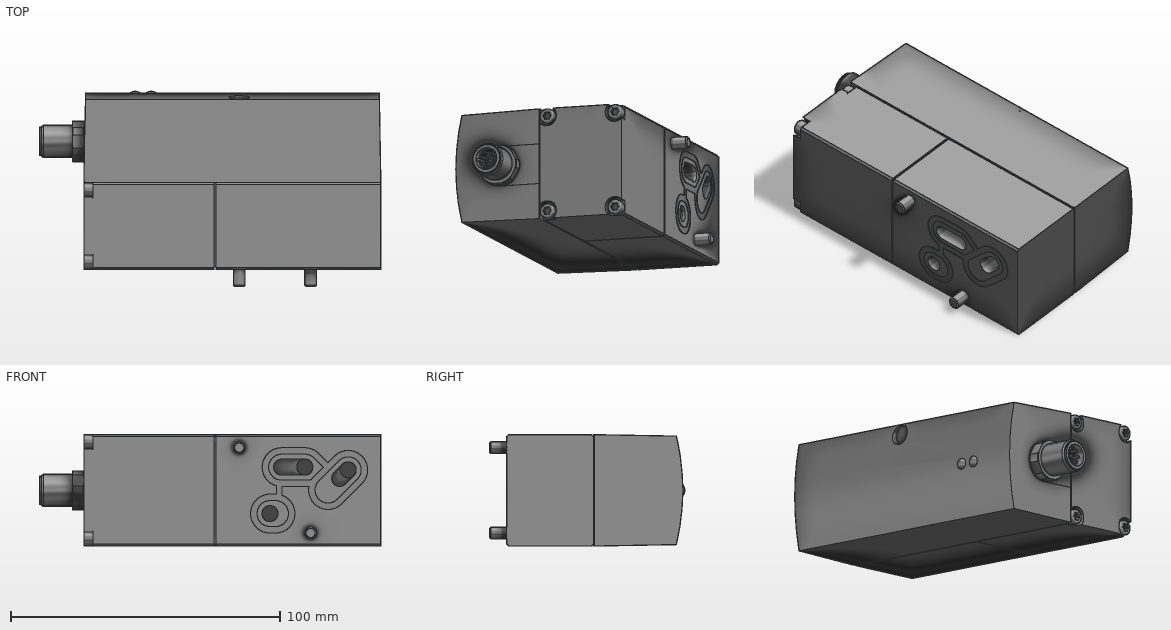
import cadquery as cq
import math


housing_length = 110.4
housing_height = 41.5
base_depth = 32.2
edge_chamfer = 0.8
split_x = 48.7
split_width = 0.8
split_depth = 0.9
seam_width = 0.4
seam_depth = 0.3

cover_draft = 1.0
cover_shoulder_y = 63.1
cover_crown_y = 65.5

lamp_diameter = 4.0
lamp_height = 0.8
lamp_xs = (19.0, 25.0)
recess_diameter = 7.5
recess_x = 57.7
recess_z = 16.1
recess_depth = 3.8

connector_y = 47.6
pad_radius = 7.5
nut_across_flats = 14.5
nut_corner_diameter = 15.2
nut_length = 4.3
nut_chamfer = 0.3
plug_diameter = 12.0
plug_tip_diameter = 10.5
plug_length = 16.5
plug_tip_length = 0.8
plug_cone_length = 0.8
plug_cone_diameter = 11.2
socket_diameter = 8.2
socket_depth = 8.9
contact_diameter = 0.8
contact_length = 7.6
contact_circle_radius = 2.8
outer_contact_count = 7
key_width = 0.9
key_reach = 1.4

screw_inset = 2.8
counterbore_diameter = 7.5
counterbore_depth = 3.4
screw_head_diameter = 5.5
screw_head_fillet = 0.6
hex_socket_width = 2.7
hex_socket_depth = 1.9

pin_positions = ((57.7, 15.9), (84.3, -15.9))
pin_diameter = 4.5
pin_length = 6.3
pin_chamfer = 0.5

port_diameter = 6.0
port_depth = 12.7
slot_depth = 7.6
port_z = 8.6
land_radius = 4.8
groove_width = 2.4
groove_depth = 0.3
groove_outer_radius = land_radius + groove_width
level_slot_left_x = 73.5
level_slot_right_x = 82.1
sloped_port = (98.2, 7.6)
sloped_slot_run = 3.2
sloped_land_run = 7.5
round_port_x = 69.2
round_land_run = 2.0
bridge_x = 72.6
bridge_width = 2.2


def on_port_face():
    """Workplane with local axes X and Z whose normal points out of the port face."""
    return cq.Workplane("XZ")


def along_x(x, y, z=0.0):
    """Workplane at x whose normal points out of the connector end (-X)."""
    return cq.Workplane(cq.Plane(origin=(x, y, z), xDir=(0, -1, 0), normal=(-1, 0, 0)))


def base_block():
    """Chamfered base with the parting groove that runs round its port face and both Z sides."""
    block = cq.Workplane("XY").box(housing_length, base_depth, housing_height, centered=(False, False, True))
    block = block.edges("|X").chamfer(edge_chamfer)
    channel = cq.Workplane("XY").box(split_width, base_depth, housing_height)
    core = cq.Workplane("XY").box(split_width, base_depth, housing_height - 2 * split_depth)
    ring = channel.cut(core.translate((0, split_depth, 0)))
    return block.cut(ring.translate((split_x, base_depth / 2, 0)))


def cover():
    """Drafted cover with a crowned outer face, a round recess and two domed lamps."""
    depth = cover_crown_y - base_depth
    drafted = (
        cq.Workplane("XZ", origin=(housing_length / 2, base_depth, 0))
        .rect(housing_length, housing_height)
        .extrude(-depth, taper=cover_draft)
    )
    half = housing_height / 2
    shoulder_half = half - (cover_shoulder_y - base_depth) * math.tan(math.radians(cover_draft))
    crown = (
        cq.Workplane("YZ")
        .moveTo(base_depth, -half)
        .lineTo(cover_shoulder_y, -half)
        .lineTo(cover_shoulder_y, -shoulder_half)
        .threePointArc((cover_crown_y, 0), (cover_shoulder_y, shoulder_half))
        .lineTo(cover_shoulder_y, half)
        .lineTo(base_depth, half)
        .close()
        .extrude(housing_length)
    )
    body = drafted.intersect(crown)
    recess = (
        cq.Workplane("XZ", origin=(recess_x, cover_crown_y, recess_z))
        .circle(recess_diameter / 2)
        .extrude(recess_depth)
    )
    body = body.cut(recess)
    dome_radius = ((lamp_diameter / 2) ** 2 + lamp_height**2) / (2 * lamp_height)
    for x in lamp_xs:
        lamp = cq.Workplane("XY").sphere(dome_radius)
        body = body.union(lamp.translate((x, cover_crown_y + lamp_height - dome_radius, 0)))
    return body


def connector_pad():
    """Undrafted U-shaped pad that seats the connector flush with the end of the base."""
    straight = connector_y - base_depth
    rounded_end = along_x(0, connector_y).circle(pad_radius).extrude(-nut_length)
    stem = along_x(0, connector_y).center(straight / 2, 0).rect(straight, 2 * pad_radius).extrude(-nut_length)
    return rounded_end.union(stem)


def end_seams():
    """Narrow grooves across both ends where the cover meets the base."""
    groove = cq.Workplane("XY").box(2 * seam_depth, seam_width, housing_height)
    near = groove.translate((0, base_depth + seam_width / 2, 0))
    return near.union(near.translate((housing_length, 0, 0)))


def connector():
    """Nut and plug; the plug holds a ring of contacts, a centre contact and a round-tipped key."""
    hexagon = (
        along_x(0, connector_y)
        .polygon(6, nut_across_flats / math.cos(math.pi / 6))
        .extrude(nut_length)
    )
    corner_limit = (
        along_x(0, connector_y)
        .circle(nut_corner_diameter / 2)
        .extrude(nut_length)
        .edges()
        .chamfer(nut_chamfer)
    )
    nut = hexagon.intersect(corner_limit)
    cone_start = plug_length - plug_tip_length - plug_cone_length
    plug = (
        cq.Workplane("XY")
        .moveTo(0, 0)
        .lineTo(0, plug_diameter / 2)
        .lineTo(-cone_start, plug_diameter / 2)
        .lineTo(-cone_start - plug_cone_length, plug_cone_diameter / 2)
        .lineTo(-cone_start - plug_cone_length, plug_tip_diameter / 2)
        .lineTo(-plug_length, plug_tip_diameter / 2)
        .lineTo(-plug_length, 0)
        .close()
        .revolve(360, (0, 0, 0), (1, 0, 0))
        .translate((0, connector_y, 0))
    )
    socket = along_x(-plug_length, connector_y).circle(socket_diameter / 2).extrude(-socket_depth)
    plug = plug.cut(socket)

    socket_floor = along_x(-plug_length + socket_depth, connector_y)
    contacts = (
        socket_floor.polarArray(contact_circle_radius, 0, 360, outer_contact_count)
        .circle(contact_diameter / 2)
        .extrude(contact_length)
    )
    centre_contact = socket_floor.circle(contact_diameter / 2).extrude(contact_length)
    key_length = key_reach + key_width / 2
    key = (
        socket_floor.center((key_reach - socket_diameter) / 2 - key_width / 4, 0)
        .slot2D(key_length, key_width)
        .extrude(contact_length)
    )
    return nut.union(plug).union(contacts).union(centre_contact).union(key)


def screw_places():
    z = housing_height / 2 - screw_inset
    return [(y, side * z) for y in (screw_inset, base_depth - screw_inset) for side in (1, -1)]


def screw_counterbore(y, z):
    return along_x(0, y, z).circle(counterbore_diameter / 2).extrude(-counterbore_depth)


def screw_head(y, z):
    head = (
        along_x(counterbore_depth, y, z)
        .circle(screw_head_diameter / 2)
        .extrude(counterbore_depth)
        .faces("<X")
        .edges()
        .fillet(screw_head_fillet)
    )
    drive = (
        along_x(0, y, z)
        .polygon(6, hex_socket_width / math.cos(math.pi / 6))
        .extrude(-hex_socket_depth)
    )
    return head.cut(drive)


def capsule(start, end, radius, depth):
    """Round-ended slot solid between two (x, z) centres, sunk into the port face."""
    run_x = end[0] - start[0]
    run_z = end[1] - start[1]
    return (
        on_port_face()
        .center((start[0] + end[0]) / 2, (start[1] + end[1]) / 2)
        .transformed(rotate=(0, 0, math.degrees(math.atan2(run_z, run_x))))
        .slot2D(math.hypot(run_x, run_z) + 2 * radius, 2 * radius)
        .extrude(-depth)
    )


def pointed_capsule(radius, axis_gap, depth):
    """Level slot outline ending in a point.

    The right end leaves its arc on a falling 45 degree tangent and returns to the
    lower edge along a line parallel to the sloped slot, axis_gap away from its axis.
    """
    diagonal = math.sqrt(0.5)
    arc_middle = math.pi / 8
    axis_level = sloped_port[0] - sloped_port[1]
    return_level = axis_level - axis_gap / diagonal
    tangent_sum = level_slot_right_x + port_z + radius / diagonal
    tip = ((tangent_sum + return_level) / 2, (tangent_sum - return_level) / 2)
    bottom = port_z - radius
    return (
        on_port_face()
        .moveTo(level_slot_left_x, port_z + radius)
        .lineTo(level_slot_right_x, port_z + radius)
        .threePointArc(
            (
                level_slot_right_x + radius * math.sin(arc_middle),
                port_z + radius * math.cos(arc_middle),
            ),
            (level_slot_right_x + radius * diagonal, port_z + radius * diagonal),
        )
        .lineTo(*tip)
        .lineTo(bottom + return_level, bottom)
        .lineTo(level_slot_left_x, bottom)
        .threePointArc((level_slot_left_x - radius, port_z), (level_slot_left_x, port_z + radius))
        .close()
        .extrude(-depth)
    )


def seal_outline(radius, axis_gap):
    """The three seal regions, each grown to the given radius around its ports."""
    sloped_end = (sloped_port[0] - sloped_land_run, sloped_port[1] - sloped_land_run)
    round_start = (round_port_x, -port_z)
    round_end = (round_port_x + round_land_run, -port_z)
    return (
        pointed_capsule(radius, axis_gap, groove_depth)
        .union(capsule(sloped_port, sloped_end, radius, groove_depth))
        .union(capsule(round_start, round_end, radius, groove_depth))
    )


def seal_groove():
    outer = seal_outline(groove_outer_radius, 0.0)
    lands = seal_outline(land_radius, groove_outer_radius)
    bridge_height = 2 * (port_z - land_radius)
    bridge = on_port_face().center(bridge_x, 0).rect(bridge_width, bridge_height).extrude(-groove_depth)
    return outer.union(bridge).cut(lands)


def ports():
    radius = port_diameter / 2
    level_port = (level_slot_right_x, port_z)
    round_port = (round_port_x, -port_z)
    sloped_end = (sloped_port[0] - sloped_slot_run, sloped_port[1] - sloped_slot_run)
    cuts = capsule((level_slot_left_x, port_z), level_port, radius, slot_depth)
    cuts = cuts.union(capsule(sloped_port, sloped_end, radius, slot_depth))
    holes = (
        on_port_face()
        .pushPoints([level_port, sloped_port, round_port])
        .circle(radius)
        .extrude(-port_depth)
    )
    return cuts.union(holes)


def pins():
    return (
        on_port_face()
        .pushPoints(pin_positions)
        .circle(pin_diameter / 2)
        .extrude(pin_length)
        .faces("<Y")
        .chamfer(pin_chamfer)
    )


base = base_block().cut(seal_groove()).cut(ports())
for place in screw_places():
    base = base.cut(screw_counterbore(*place))

housing = base.union(cover()).union(connector_pad()).cut(end_seams())
result = housing.union(connector()).union(pins())
for place in screw_places():
    result = result.union(screw_head(*place))